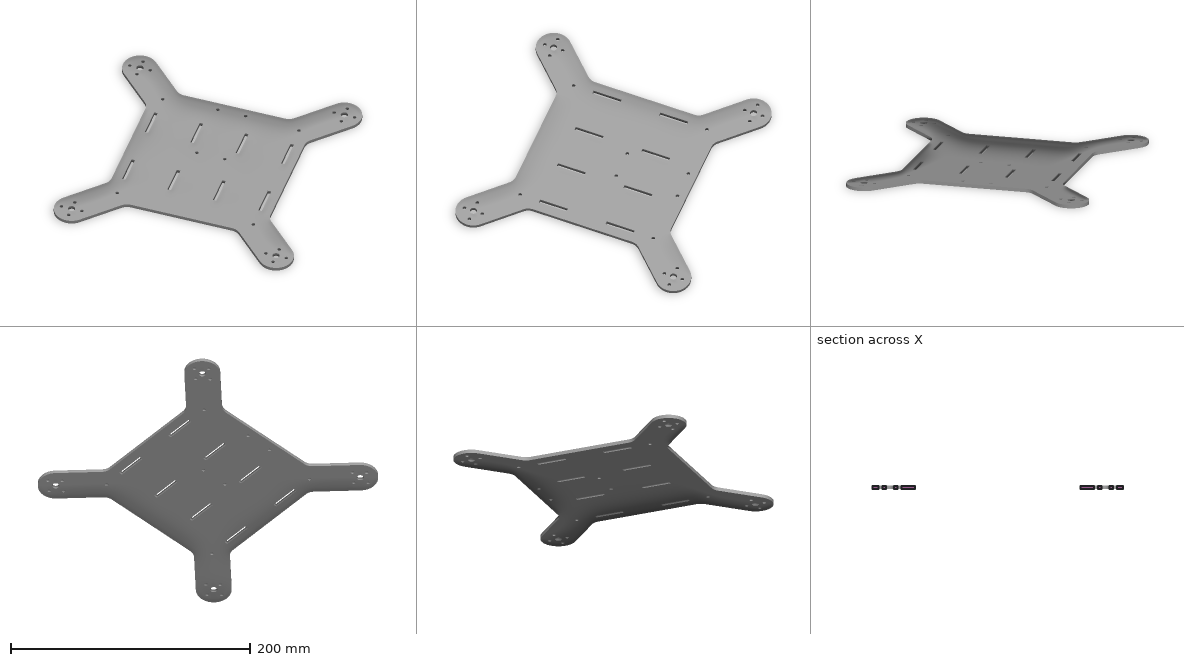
import cadquery as cq
import math

thickness = 3.0
body_side = 140.0
motor_spacing = 180.0
arm_end_radius = 15.0
arm_root_fillet = 10.0

shaft_hole_diameter = 6.0
screw_hole_diameter = 3.0
motor_screw_spacing_x = 18.0
motor_screw_spacing_y = 16.0

slot_width = 3.0
slot_length = 25.0
slot_pitch_x = 40.0
slot_columns = 4
slot_row_spacing = 60.0

standoff_spacing = 120.0

board_hole_spacing_x = 24.5
board_hole_spacing_y = 55.0
board_center_y = 35.0


def corner_points(spacing_x, spacing_y, center=(0.0, 0.0)):
    """Four corners of a rectangle around a center."""
    return [
        (center[0] + side_x * spacing_x / 2, center[1] + side_y * spacing_y / 2)
        for side_x in (-1, 1)
        for side_y in (-1, 1)
    ]


def diagonal_arm(angle):
    """Bar with round ends that joins two opposite motor mounts."""
    length = motor_spacing * math.sqrt(2) + 2 * arm_end_radius
    return cq.Workplane("XY").slot2D(length, 2 * arm_end_radius, angle).extrude(thickness)


def arm_root_points():
    """Points where the arm sides meet the straight sides of the body."""
    half_body = body_side / 2
    root = half_body - arm_end_radius * math.sqrt(2)
    return corner_points(2 * root, body_side) + corner_points(body_side, 2 * root)


def make_frame():
    """Square body with four diagonal arms and filleted arm roots."""
    frame = cq.Workplane("XY").rect(body_side, body_side).extrude(thickness)
    for angle in (45, -45):
        frame = frame.union(diagonal_arm(angle))
    frame = frame.clean()
    margin = 1.0
    roots = cq.Workplane("XY")
    for x, y in arm_root_points():
        near_root = cq.selectors.BoxSelector(
            (x - margin, y - margin, 0), (x + margin, y + margin, thickness)
        )
        roots = roots.add(frame.edges("|Z").edges(near_root))
    return frame.newObject(roots.vals()).fillet(arm_root_fillet)


def round_holes(points, diameter):
    return cq.Workplane("XY").pushPoints(points).circle(diameter / 2).extrude(thickness)


def motor_screw_points(motor):
    """Four screws on the X and Y axes of one motor."""
    x, y = motor
    reach_x = motor_screw_spacing_x / 2
    reach_y = motor_screw_spacing_y / 2
    return [(x - reach_x, y), (x + reach_x, y), (x, y - reach_y), (x, y + reach_y)]


def strap_slots():
    return (
        cq.Workplane("XY")
        .rarray(slot_pitch_x, slot_row_spacing, slot_columns, 2)
        .rect(slot_width, slot_length)
        .extrude(thickness)
    )


motors = corner_points(motor_spacing, motor_spacing)
standoffs = corner_points(standoff_spacing, standoff_spacing)
board_holes = corner_points(board_hole_spacing_x, board_hole_spacing_y, (0.0, board_center_y))

result = make_frame()
result = result.cut(round_holes(motors, shaft_hole_diameter))
for motor_center in motors:
    result = result.cut(round_holes(motor_screw_points(motor_center), screw_hole_diameter))
result = result.cut(round_holes(standoffs + board_holes, screw_hole_diameter))
result = result.cut(strap_slots())